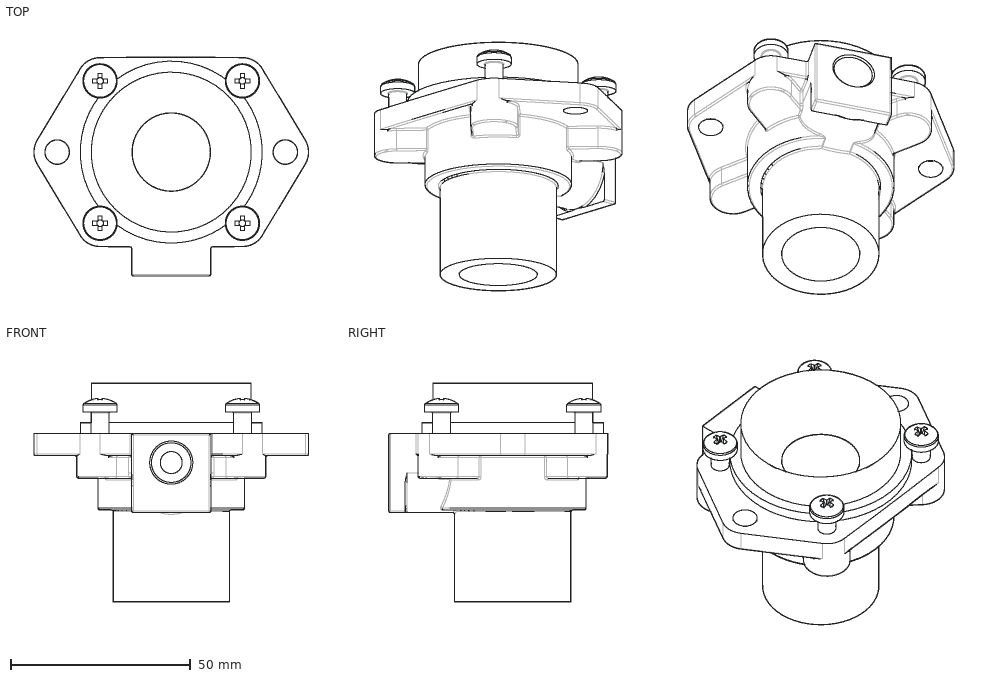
import cadquery as cq
import math


BORE_RADIUS = 10.9
PLATE_THICKNESS = 6.2
PLATE_CORNER_RADIUS = 6.5
PLATE_SIDE_REACH = 26.5
EAR_HOLE_X = 31.75
EAR_HOLE_RADIUS = 3.4
SCREW_OFFSET = 19.8
BOSS_DEPTH = 12.5
HUB_RADIUS = 20.4
HUB_DEPTH = 21.3
TUBE_RADIUS = 16.2
TUBE_DEPTH = 46.9
EDGE_ROUND = 0.5
SLAB_RADIUS = 45.9
SEAM_TOLERANCE = 0.001

PORT_WIDTH = 22.0
PORT_RADIUS = PORT_WIDTH / 2
PORT_FACE_Y = -34.5
PORT_HEAD_LENGTH = 4.5
PORT_HOLE_Z = -8.1
PORT_HOLE_RADIUS = 5.5
PORT_HOLE_CHAMFER = 0.5
PORT_HOLE_DEPTH = 12.25
PILOT_RADIUS = 3.05
PILOT_DEPTH = 3.05

FUNNEL_FLANGE_RADIUS = 25.3
FUNNEL_FLANGE_HEIGHT = 3.0
FUNNEL_RADIUS = 22.25
FUNNEL_HEIGHT = 14.0
THROAT_HEIGHT = 0.15

SCREW_RADIUS = 2.5
SCREW_END_Z = -10.0
HEAD_BASE_Z = 6.0
HEAD_RADIUS = 4.78
HEAD_RIM_HEIGHT = 1.9
HEAD_CHAMFER_WIDTH = 0.2
HEAD_CHAMFER_HEIGHT = 0.45
HEAD_HEIGHT = 3.8
NECK_ROUND = 0.2
RECESS_HALF_LENGTH = 2.2
RECESS_WIDTH = 1.15
RECESS_CORE_RADIUS = 0.9
RECESS_DEPTH = 2.45
RECESS_TIP_DEPTH = 3.0

SCREW_POINTS = [(sx * SCREW_OFFSET, sy * SCREW_OFFSET) for sx in (-1, 1) for sy in (-1, 1)]


def disc(radius, bottom, top):
    return cq.Workplane("XY").workplane(offset=bottom).circle(radius).extrude(top - bottom)


def plate():
    """Plate with round corners about the ear holes and screws, and a tongue over the port neck."""
    slant = math.atan2(EAR_HOLE_X - SCREW_OFFSET, SCREW_OFFSET)
    nx = PLATE_CORNER_RADIUS * math.cos(slant)
    ny = PLATE_CORNER_RADIUS * math.sin(slant)
    half = (math.pi / 2 + slant) / 2
    mx = PLATE_CORNER_RADIUS * math.cos(half)
    my = PLATE_CORNER_RADIUS * math.sin(half)
    c = SCREW_OFFSET
    ear = EAR_HOLE_X
    side = c + PLATE_CORNER_RADIUS
    outline = (
        cq.Workplane("XY")
        .moveTo(-c, side)
        .threePointArc((0, PLATE_SIDE_REACH), (c, side))
        .threePointArc((c + mx, c + my), (c + nx, c + ny))
        .lineTo(ear + nx, ny)
        .threePointArc((ear + PLATE_CORNER_RADIUS, 0), (ear + nx, -ny))
        .lineTo(c + nx, -c - ny)
        .threePointArc((c + mx, -c - my), (c, -side))
        .threePointArc((0, -PLATE_SIDE_REACH), (-c, -side))
        .threePointArc((-c - mx, -c - my), (-c - nx, -c - ny))
        .lineTo(-ear - nx, -ny)
        .threePointArc((-ear - PLATE_CORNER_RADIUS, 0), (-ear - nx, ny))
        .lineTo(-c - nx, c + ny)
        .threePointArc((-c - mx, c + my), (-c, side))
        .close()
        .extrude(-PLATE_THICKNESS)
    )
    tongue_y = PORT_FACE_Y + PORT_HEAD_LENGTH
    tongue = (
        cq.Workplane("XY")
        .box(PORT_WIDTH, -tongue_y, PLATE_THICKNESS, centered=(True, False, False))
        .translate((0, tongue_y, -PLATE_THICKNESS))
    )
    corners = cq.selectors.BoxSelector(
        (-PORT_RADIUS - EDGE_ROUND, -PLATE_SIDE_REACH - EDGE_ROUND, -PLATE_THICKNESS),
        (PORT_RADIUS + EDGE_ROUND, -side, 0),
    )
    body = outline.union(tongue).edges("|Z").edges(corners).fillet(EDGE_ROUND)
    return body.faces("<Z").edges().fillet(EDGE_ROUND)


def bosses():
    """Two crossed diagonal bars whose round ends carry the screws."""
    span = 2 * math.hypot(SCREW_OFFSET, SCREW_OFFSET)
    bar = cq.Workplane("XY").slot2D(span + 2 * PLATE_CORNER_RADIUS, 2 * PLATE_CORNER_RADIUS)
    bar = bar.extrude(-BOSS_DEPTH).faces("<Z").edges().fillet(EDGE_ROUND)
    axis = ((0, 0, 0), (0, 0, 1))
    return bar.rotate(*axis, 45).union(bar.rotate(*axis, -45))


def hub():
    return disc(HUB_RADIUS, -HUB_DEPTH, 0).faces("<Z").edges().fillet(EDGE_ROUND)


def port_neck():
    """Bar with a half-round underside, running from the bore axis to the port head."""
    return (
        cq.Workplane("XZ")
        .moveTo(-PORT_RADIUS, 0)
        .lineTo(-PORT_RADIUS, -PORT_RADIUS)
        .threePointArc((0, -PORT_WIDTH), (PORT_RADIUS, -PORT_RADIUS))
        .lineTo(PORT_RADIUS, 0)
        .close()
        .extrude(-PORT_FACE_Y - PORT_HEAD_LENGTH)
    )


def touches(part, point):
    return any(face.distance(point) < SEAM_TOLERANCE for face in part.faces().vals())


def round_seams(body, parts):
    """Fillet the inner corners, which are the edges that lie on two of the joined parts."""
    seams = []
    for edge in body.edges().vals():
        middle = cq.Vertex.makeVertex(*edge.positionAt(0.5).toTuple())
        if sum(touches(part, middle) for part in parts) >= 2:
            seams.append(edge)
    return body.newObject([body.val().fillet(EDGE_ROUND, seams)])


def join(parts):
    body = parts[0]
    for part in parts[1:]:
        body = body.union(part)
    return body


def port():
    """Neck and square head, with the corner between them rounded."""
    length = -PORT_FACE_Y
    blank = (
        cq.Workplane("XY")
        .box(2 * PORT_WIDTH, PORT_HEAD_LENGTH, 3 * PORT_WIDTH, centered=(True, False, True))
        .translate((0, PORT_FACE_Y, -PORT_RADIUS))
    )
    parts = [blank, port_neck()]
    envelope = (
        cq.Workplane("XY")
        .box(PORT_WIDTH, length, PORT_WIDTH, centered=(True, False, False))
        .translate((0, PORT_FACE_Y, -PORT_WIDTH))
        .edges("<Y or (<Z and |Y)")
        .fillet(EDGE_ROUND)
    )
    return round_seams(join(parts), parts).intersect(envelope)


def casting():
    """Plate, bosses, hub, tube and port neck, with every inner corner rounded."""
    slab = disc(SLAB_RADIUS, -PLATE_THICKNESS, 0)
    parts = [slab, bosses(), hub(), disc(TUBE_RADIUS, -TUBE_DEPTH, 0), port_neck()]
    body = round_seams(join(parts), parts)
    rim = plate()
    below = rim.faces("<Z").wires().toPending().extrude(-TUBE_DEPTH)
    return body.intersect(join([rim, below, bosses(), port_neck()]))


def port_hole():
    """Chamfered blind bore with a smaller pilot hole in its floor."""
    face = cq.Workplane("XZ", origin=(0, PORT_FACE_Y, PORT_HOLE_Z))
    chamfer = (
        face.circle(PORT_HOLE_RADIUS + PORT_HOLE_CHAMFER)
        .workplane(offset=-PORT_HOLE_CHAMFER)
        .circle(PORT_HOLE_RADIUS)
        .loft()
    )
    bore = face.circle(PORT_HOLE_RADIUS).extrude(-PORT_HOLE_DEPTH)
    pilot = face.circle(PILOT_RADIUS).extrude(-PORT_HOLE_DEPTH - PILOT_DEPTH)
    return join([chamfer, bore, pilot])


def make_housing():
    body = casting().union(port())
    ears = [(-EAR_HOLE_X, 0), (EAR_HOLE_X, 0)]
    ear_holes = cq.Workplane("XY").pushPoints(ears).circle(EAR_HOLE_RADIUS).extrude(-PLATE_THICKNESS)
    screw_holes = cq.Workplane("XY").pushPoints(SCREW_POINTS).circle(SCREW_RADIUS).extrude(SCREW_END_Z)
    bore = disc(BORE_RADIUS, -TUBE_DEPTH, 0)
    return body.cut(bore).cut(ear_holes).cut(screw_holes).cut(port_hole())


def make_funnel():
    """Flanged collar with a conical mouth that narrows to the housing bore."""
    return (
        cq.Workplane("XZ")
        .moveTo(BORE_RADIUS, 0)
        .lineTo(FUNNEL_FLANGE_RADIUS, 0)
        .lineTo(FUNNEL_FLANGE_RADIUS, FUNNEL_FLANGE_HEIGHT)
        .lineTo(FUNNEL_RADIUS, FUNNEL_FLANGE_HEIGHT)
        .lineTo(FUNNEL_RADIUS, FUNNEL_HEIGHT)
        .lineTo(BORE_RADIUS, THROAT_HEIGHT)
        .close()
        .revolve(360, (0, 0, 0), (0, 1, 0))
    )


def cross_recess(top):
    """Cross-shaped driver recess with sloping arm floors and a pointed round core."""
    arm = (
        cq.Workplane("XZ")
        .polyline([
            (-RECESS_HALF_LENGTH, top),
            (-RECESS_CORE_RADIUS, top - RECESS_DEPTH),
            (RECESS_CORE_RADIUS, top - RECESS_DEPTH),
            (RECESS_HALF_LENGTH, top),
        ])
        .close()
        .extrude(RECESS_WIDTH / 2, both=True)
    )
    core = (
        cq.Workplane("XZ")
        .polyline([
            (0, top),
            (RECESS_CORE_RADIUS, top),
            (RECESS_CORE_RADIUS, top - RECESS_DEPTH),
            (0, top - RECESS_TIP_DEPTH),
        ])
        .close()
        .revolve(360, (0, 0, 0), (0, 1, 0))
    )
    return join([arm, arm.rotate((0, 0, 0), (0, 0, 1), 90), core])


def make_screw(x, y):
    """Domed screw standing proud of the plate, its shank filling a blind hole in a boss."""
    rim = HEAD_BASE_Z + HEAD_RIM_HEIGHT
    shoulder = rim + HEAD_CHAMFER_HEIGHT
    top = HEAD_BASE_Z + HEAD_HEIGHT
    dome_edge = HEAD_RADIUS - HEAD_CHAMFER_WIDTH
    rise = top - shoulder
    sphere = (dome_edge**2 + rise**2) / (2 * rise)
    mid = dome_edge / 2
    mid_z = top - sphere + math.sqrt(sphere**2 - mid**2)
    screw = (
        cq.Workplane("XZ")
        .moveTo(0, SCREW_END_Z)
        .lineTo(SCREW_RADIUS, SCREW_END_Z)
        .lineTo(SCREW_RADIUS, HEAD_BASE_Z - NECK_ROUND)
        .radiusArc((SCREW_RADIUS + NECK_ROUND, HEAD_BASE_Z), NECK_ROUND)
        .lineTo(HEAD_RADIUS, HEAD_BASE_Z)
        .lineTo(HEAD_RADIUS, rim)
        .lineTo(dome_edge, shoulder)
        .threePointArc((mid, mid_z), (0, top))
        .close()
        .revolve(360, (0, 0, 0), (0, 1, 0))
    )
    return screw.cut(cross_recess(top)).translate((x, y, 0))


housing = make_housing()
funnel = make_funnel()
screws = [make_screw(x, y) for x, y in SCREW_POINTS]
result = cq.Compound.makeCompound([housing.val(), funnel.val(), *[s.val() for s in screws]])